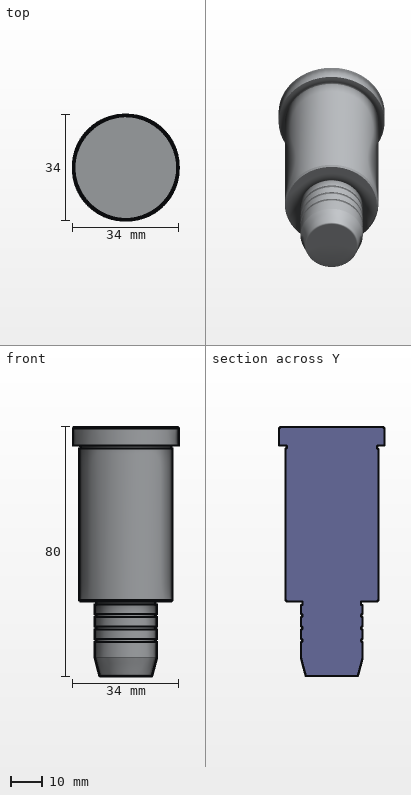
import cadquery as cq
import math

total_height = 80.0
head_thickness = 6.0
body_bottom_z = 24.0
neck_height = 1.0
taper_height = 6.0

head_radius = 17.0
body_radius = 15.0
shank_radius = 10.0
neck_radius = 9.5

taper_angle_deg = 15.0

edge_chamfer = 0.5
tip_fillet = 0.5

groove_radius = 0.5
groove_count = 3
groove_pitch = 4.0
lowest_groove_bottom_z = 11.0

head_bottom_z = total_height - head_thickness
shank_top_z = body_bottom_z - neck_height
tip_radius = shank_radius - taper_height * math.tan(math.radians(taper_angle_deg))


def add_half_round_groove(profile, radius, bottom_z):
    """Continue the profile upwards to a groove at bottom_z and around its half circle."""
    floor = (radius - groove_radius, bottom_z + groove_radius)
    top = (radius, bottom_z + 2 * groove_radius)
    return profile.lineTo(radius, bottom_z).threePointArc(floor, top)


def add_shank(profile):
    """Flat tip, taper, grooved shank and relief neck."""
    profile = profile.lineTo(tip_radius, 0).lineTo(shank_radius, taper_height)
    for index in range(groove_count):
        groove_bottom_z = lowest_groove_bottom_z + index * groove_pitch
        profile = add_half_round_groove(profile, shank_radius, groove_bottom_z)
    return (
        profile.lineTo(shank_radius, shank_top_z)
        .lineTo(neck_radius, shank_top_z)
        .lineTo(neck_radius, body_bottom_z)
    )


def add_body(profile):
    """Large cylinder, chamfered at its lower edge, with a groove directly under the head."""
    profile = (
        profile.lineTo(body_radius - edge_chamfer, body_bottom_z)
        .lineTo(body_radius, body_bottom_z + edge_chamfer)
    )
    return add_half_round_groove(profile, body_radius, head_bottom_z - 2 * groove_radius)


def add_head(profile):
    """Collar head with a chamfered top edge, ending on the axis."""
    return (
        profile.lineTo(head_radius, head_bottom_z)
        .lineTo(head_radius, total_height - edge_chamfer)
        .lineTo(head_radius - edge_chamfer, total_height)
        .lineTo(0, total_height)
    )


half_profile = cq.Workplane("XZ").moveTo(0, 0)
half_profile = add_shank(half_profile)
half_profile = add_body(half_profile)
half_profile = add_head(half_profile)

pin = half_profile.close().revolve(360, (0, 0, 0), (0, 1, 0))
result = pin.edges("<Z").fillet(tip_fillet)